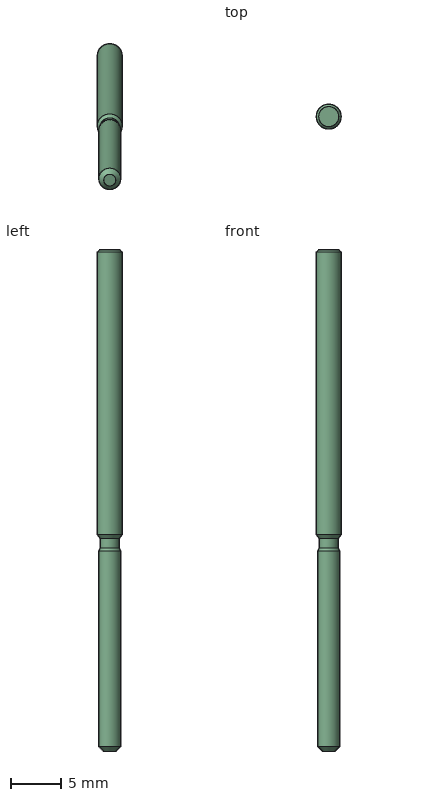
import cadquery as cq

total_length = 50.0
barrel_diameter = 2.5
top_chamfer = 0.25
barrel_bottom_z = 21.2
barrel_taper_height = 0.4
neck_diameter = 1.9
shoulder_top_z = 20.3
shoulder_height = 0.3
plunger_diameter = 2.2
tip_diameter = 1.2
tip_height = (plunger_diameter - tip_diameter) / 2


def revolve_profile(points):
    """Revolve a closed (radius, height) outline about the Z axis."""
    return cq.Workplane("XZ").polyline(points).close().revolve(360, (0, 0, 0), (0, 1, 0))


def make_barrel():
    """Upper rod, chamfered on top and tapered down to meet the plunger neck."""
    radius = barrel_diameter / 2
    return revolve_profile([
        (0, barrel_bottom_z),
        (neck_diameter / 2, barrel_bottom_z),
        (radius, barrel_bottom_z + barrel_taper_height),
        (radius, total_length - top_chamfer),
        (radius - top_chamfer, total_length),
        (0, total_length),
    ])


def make_plunger():
    """Lower rod with a conical tip and a tapered shoulder leading to a neck."""
    radius = plunger_diameter / 2
    neck_radius = neck_diameter / 2
    return revolve_profile([
        (0, 0),
        (tip_diameter / 2, 0),
        (radius, tip_height),
        (radius, shoulder_top_z - shoulder_height),
        (neck_radius, shoulder_top_z),
        (neck_radius, barrel_bottom_z),
        (0, barrel_bottom_z),
    ])


barrel = make_barrel()
plunger = make_plunger()

result = cq.Compound.makeCompound([barrel.val(), plunger.val()])